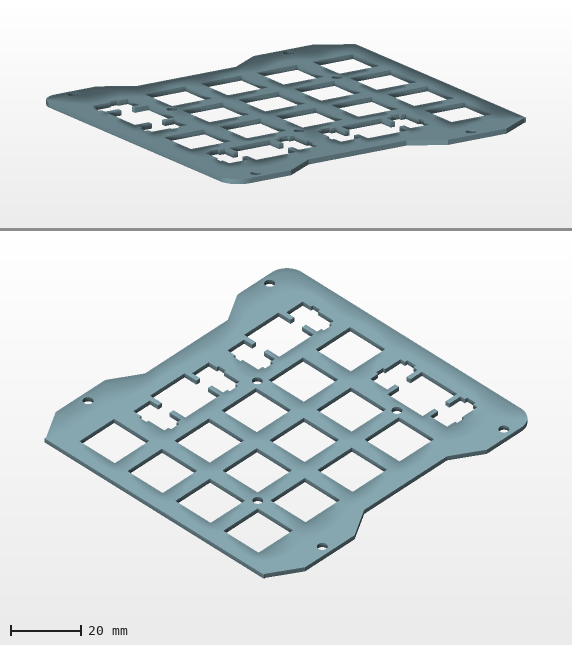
import cadquery as cq

plate_width = 99.15
plate_length = 104.2
plate_thickness = 1.5
half_width = plate_width / 2
half_length = plate_length / 2

side_inset = 6.0
shoulder_length = 10.0
top_edge_height = 0.6
bottom_corner_radius = 6.0
top_shoulder_y = half_length - top_edge_height
upper_lobe_top_y = top_shoulder_y - shoulder_length
upper_lobe_bottom_y = 21.45
waist_top_y = upper_lobe_bottom_y - shoulder_length
waist_bottom_y = -22.1
lower_lobe_top_y = waist_bottom_y - shoulder_length

key_pitch = 19.05
key_opening = 14.0
grid_columns = 4
grid_rows = 5
last_column = grid_columns - 1
top_row = grid_rows - 1
grid_center_y = 1.0

stabilizer_offset = 11.9
wing_half_width = 3.375
wing_top = 5.53
wing_bottom = -6.77
notch_half_width = 1.65
notch_bottom = -7.77
ear_reach = 4.2
ear_top = 2.3
ear_bottom = -0.5
link_half_height = 2.3

hole_diameter = 3.1
outer_hole_x = 46.55
outer_hole_ys = (31.45, -42.1)
right_inner_hole_x = 18.5
lower_inner_hole_y = -26.8


def key_x(column):
    """X of a key column; fractional columns lie between keys."""
    return (column - last_column / 2) * key_pitch


def key_y(row):
    """Y of a key row, counted from the bottom; fractional rows lie between keys."""
    return grid_center_y + (row - top_row / 2) * key_pitch


def box_between(x_min, x_max, y_min, y_max):
    """Cutter through the full plate thickness."""
    return (
        cq.Workplane("XY")
        .rect(x_max - x_min, y_max - y_min)
        .extrude(plate_thickness)
        .translate(((x_min + x_max) / 2, (y_min + y_max) / 2, 0))
    )


def make_plate():
    inset_x = half_width - side_inset
    right_side = [
        (inset_x, half_length),
        (inset_x, top_shoulder_y),
        (half_width, upper_lobe_top_y),
        (half_width, upper_lobe_bottom_y),
        (inset_x, waist_top_y),
        (inset_x, waist_bottom_y),
        (half_width, lower_lobe_top_y),
        (half_width, -half_length),
    ]
    left_side = [(-x, y) for x, y in reversed(right_side)]
    plate = cq.Workplane("XY").polyline(right_side + left_side).close().extrude(plate_thickness)
    return plate.edges("|Z").edges("<Y").fillet(bottom_corner_radius)


def make_double_key_cutter():
    """Key opening with a linked stabilizer opening on each side, notches toward -Y."""
    half_key = key_opening / 2
    cutter = box_between(-half_key, half_key, -half_key, half_key)
    cutter = cutter.union(
        box_between(-stabilizer_offset, stabilizer_offset, -link_half_height, link_half_height)
    )
    right_wing = box_between(
        stabilizer_offset - wing_half_width, stabilizer_offset + wing_half_width, wing_bottom, wing_top
    )
    notch = box_between(
        stabilizer_offset - notch_half_width, stabilizer_offset + notch_half_width, notch_bottom, 0
    )
    ear = box_between(stabilizer_offset, stabilizer_offset + ear_reach, ear_bottom, ear_top)
    right_wing = right_wing.union(notch).union(ear)
    return cutter.union(right_wing).union(right_wing.mirror("YZ"))


def cut_single_keys(plate):
    """Openings of every key that is one grid cell in size."""
    block_keys = [(column, row) for column in range(last_column) for row in range(1, grid_rows)]
    other_keys = [(last_column - 1, 0), (last_column, top_row)]
    centers = [(key_x(column), key_y(row)) for column, row in block_keys + other_keys]
    cutters = cq.Workplane("XY").pushPoints(centers).rect(key_opening, key_opening).extrude(plate_thickness)
    return plate.cut(cutters)


def cut_double_keys(plate):
    """One double-width key in the bottom row and two double-height keys in the last column."""
    cutter = make_double_key_cutter()
    upright_cutter = cutter.rotate((0, 0, 0), (0, 0, 1), -90)
    plate = plate.cut(cutter.translate((key_x(0.5), key_y(0), 0)))
    for row in (0.5, 2.5):
        plate = plate.cut(upright_cutter.translate((key_x(last_column), key_y(row), 0)))
    return plate


def cut_screw_holes(plate):
    outer_holes = [(side * outer_hole_x, y) for side in (-1, 1) for y in outer_hole_ys]
    inner_holes = [
        (key_x(0.5), key_y(3.5)),
        (right_inner_hole_x, key_y(1.5)),
        (key_x(0.5), lower_inner_hole_y),
    ]
    cutters = (
        cq.Workplane("XY")
        .pushPoints(outer_holes + inner_holes)
        .circle(hole_diameter / 2)
        .extrude(plate_thickness)
    )
    return plate.cut(cutters)


result = make_plate()
result = cut_single_keys(result)
result = cut_double_keys(result)
result = cut_screw_holes(result)